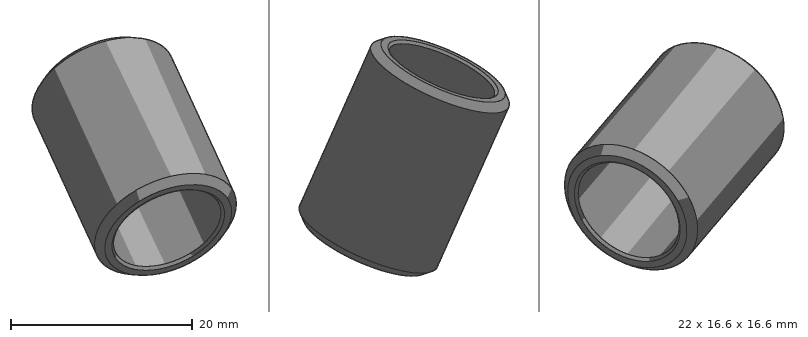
import cadquery as cq

length = 22.0
outer_diameter = 16.65
bore_diameter = 12.6
outer_chamfer = 0.88
bore_chamfer = 0.3

tube = (
    cq.Workplane("YZ", origin=(-length / 2, 0, 0))
    .circle(outer_diameter / 2)
    .circle(bore_diameter / 2)
    .extrude(length)
)

end_faces = "<X or >X"
bore_edges = cq.selectors.RadiusNthSelector(0)
outer_edges = cq.selectors.RadiusNthSelector(1)
beveled_tube = tube.faces(end_faces).edges(outer_edges).chamfer(outer_chamfer)
result = beveled_tube.faces(end_faces).edges(bore_edges).chamfer(bore_chamfer)